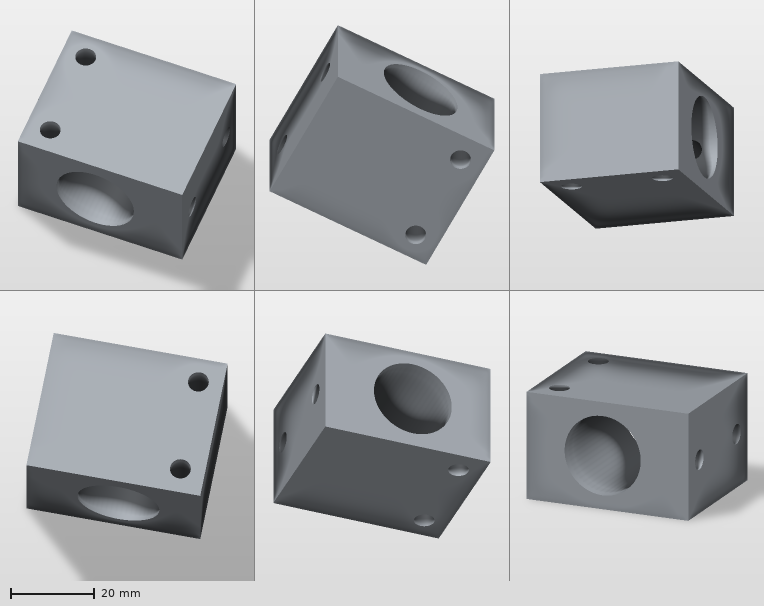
import cadquery as cq

length_x = 42.5
width_y = 35.0
height_z = 27.0

bore_diameter = 20.0
bore_x = 20.0
bore_z = height_z / 2

mount_hole_diameter = 5.0
mount_hole_inset = 6.0

cross_hole_diameter = 5.0
cross_hole_inset = 6.5


def mirrored_positions(inset):
    """Y positions set in by the same distance from both ends of the block."""
    return [inset, width_y - inset]


def make_block():
    return cq.Workplane("XY").box(length_x, width_y, height_z, centered=False)


def make_bore():
    bore_profile = cq.Workplane("XZ").center(bore_x, bore_z).circle(bore_diameter / 2)
    return bore_profile.extrude(-width_y)


def make_mount_holes():
    centers = [(mount_hole_inset, y) for y in mirrored_positions(mount_hole_inset)]
    return cq.Workplane("XY").pushPoints(centers).circle(mount_hole_diameter / 2).extrude(height_z)


def make_cross_holes():
    centers = [(y, bore_z) for y in mirrored_positions(cross_hole_inset)]
    bore_axis_plane = cq.Workplane("YZ", origin=(bore_x, 0, 0))
    return bore_axis_plane.pushPoints(centers).circle(cross_hole_diameter / 2).extrude(length_x - bore_x)


result = make_block().cut(make_bore()).cut(make_mount_holes()).cut(make_cross_holes())